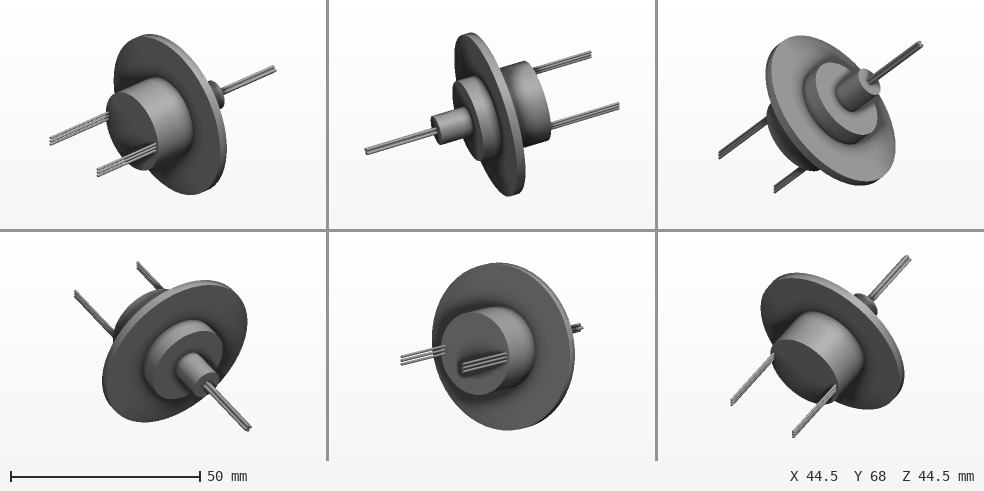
import cadquery as cq

flange_diameter = 44.5
flange_thickness = 2.3
body_diameter = 22.05
body_front_length = 11.85
body_rear_length = 5.1
neck_diameter = 8.0
neck_length = 9.0

front_lead_diameter = 0.7
front_lead_length = 19.8
front_lead_pitch = 1.0
front_row_offset = 9.85

rear_lead_diameter = 0.8
rear_lead_length = 20.0
rear_lead_offset = 0.75

body_front = -body_front_length
body_rear = flange_thickness + body_rear_length
neck_rear = body_rear + neck_length


def rod(diameter, start, end, x=0, z=0):
    """Round rod parallel to Y from start to end, centred at (x, z)."""
    section = cq.Plane(origin=(x, start, z), xDir=(-1, 0, 0), normal=(0, 1, 0))
    return cq.Workplane(section).circle(diameter / 2).extrude(end - start)


result = rod(body_diameter, body_front, body_rear)
result = result.union(rod(flange_diameter, 0, flange_thickness))
result = result.union(rod(neck_diameter, body_rear, neck_rear))

for x in (-front_row_offset, front_row_offset):
    for row_step in (-1, 0, 1):
        z = row_step * front_lead_pitch
        result = result.union(rod(front_lead_diameter, body_front - front_lead_length, body_front, x, z))

for x_step, z_step in ((0, 0), (1, 0), (0, 1), (-1, 0), (0, -1)):
    x = x_step * rear_lead_offset
    z = z_step * rear_lead_offset
    result = result.union(rod(rear_lead_diameter, neck_rear, neck_rear + rear_lead_length, x, z))